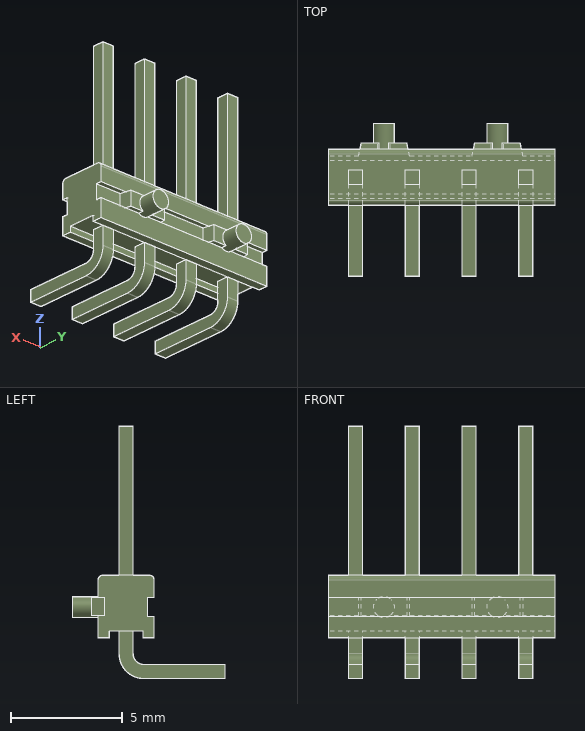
import cadquery as cq


pin_count = 4
pitch = 2.54
pin_size = 0.64
bend_inner_radius = 0.48
pin_tip_above_housing = 6.67
pin_drop_below_housing = 1.83
pin_reach_past_housing = 3.18

housing_length = pin_count * pitch
housing_depth = 2.52
housing_height = 2.81
housing_offset = 0.05
top_edge_radius = 0.22

front_groove_height = 0.84
back_groove_height = 0.8
groove_depth = 0.3
groove_below_top = 1.01

foot_depth = 0.51
foot_height = 0.3

peg_spacing = 2 * pitch
peg_diameter = 0.94
peg_reach = 1.15
pad_reach = 0.28
pad_outer_width = 2.05
pad_inner_width = 2.28

half_depth = housing_depth / 2
groove_top = housing_height - groove_below_top
peg_z = groove_top - front_groove_height / 2
groove_floor_y = half_depth - groove_depth


def make_groove_cutter(face_y, height):
    """Full-length bar centred on a long face, so half of it cuts into the housing."""
    return cq.Workplane("XY", origin=(0, face_y, groove_top - height / 2)).box(
        housing_length, 2 * groove_depth, height
    )


def make_housing():
    """Moulded bar with rounded top edges, side grooves and an underside channel."""
    block = (
        cq.Workplane("XY")
        .box(housing_length, housing_depth, housing_height, centered=(True, True, False))
        .edges("|X and >Z")
        .fillet(top_edge_radius)
    )
    front_groove = make_groove_cutter(-half_depth, front_groove_height)
    back_groove = make_groove_cutter(half_depth, back_groove_height)
    channel = cq.Workplane("XY").box(
        housing_length, housing_depth - 2 * foot_depth, foot_height, centered=(True, True, False)
    )
    return block.cut(front_groove).cut(back_groove).cut(channel).translate((housing_offset, 0, 0))


def make_pin(x):
    """Square pin running down through the housing, then bent toward -Y."""
    half_pin = pin_size / 2
    bend_radius = bend_inner_radius + half_pin
    tip_z = housing_height + pin_tip_above_housing
    tail_z = half_pin - pin_drop_below_housing
    tail_y = -half_depth - pin_reach_past_housing
    path = (
        cq.Workplane("YZ", origin=(x, 0, 0))
        .moveTo(0, tip_z)
        .lineTo(0, tail_z + bend_radius)
        .tangentArcPoint((-bend_radius, tail_z), relative=False)
        .lineTo(tail_y, tail_z)
    )
    section = cq.Workplane("XY", origin=(x, 0, tip_z)).rect(pin_size, pin_size)
    return section.sweep(path)


def make_peg(x):
    """Round peg pointing toward +Y, with its tapered pad."""
    pad_outer_y = half_depth + pad_reach
    pad = (
        cq.Workplane("XY", origin=(x, 0, groove_top - back_groove_height))
        .moveTo(-pad_inner_width / 2, groove_floor_y)
        .lineTo(pad_inner_width / 2, groove_floor_y)
        .lineTo(pad_outer_width / 2, pad_outer_y)
        .lineTo(-pad_outer_width / 2, pad_outer_y)
        .close()
        .extrude(back_groove_height)
    )
    peg = (
        cq.Workplane("XZ", origin=(x, groove_floor_y, peg_z))
        .circle(peg_diameter / 2)
        .extrude(-(groove_depth + peg_reach))
    )
    return pad.union(peg)


result = make_housing()
for index in range(pin_count):
    result = result.union(make_pin((index - (pin_count - 1) / 2) * pitch))
for side in (-1, 1):
    result = result.union(make_peg(side * peg_spacing / 2))